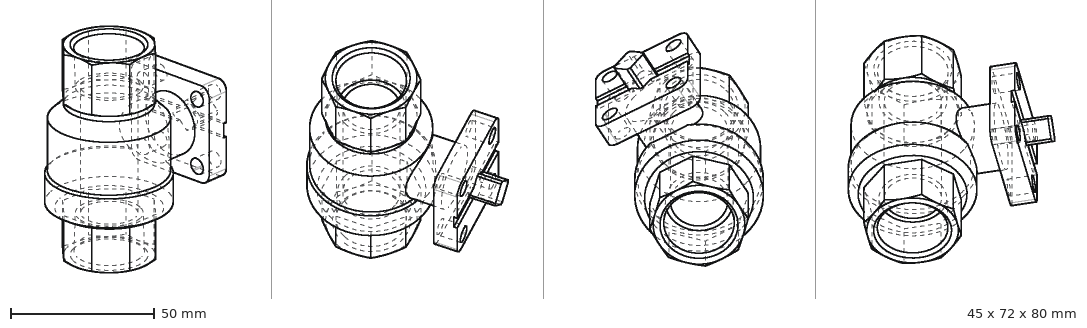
import cadquery as cq
import math

length = 80.0
mid_height = length / 2

end_flats = 32.0
end_sides = 8
half_side_angle = 180 / end_sides
end_corner_diameter = end_flats / math.cos(math.radians(half_side_angle))
corner_bevel_angle = math.radians(30)
upper_end_bottom = 59.6

neck_radius = end_flats / 2
body_radius = 21.5
collar_radius = 22.5
collar_bottom = 18.0
collar_bevel_height = 2.0
collar_bevel_angle = math.radians(60)
collar_bevel_width = collar_bevel_height * math.tan(collar_bevel_angle)
collar_top = 31.0
neck_bottom = 57.6
shoulder_bottom = 52.2

bore_diameter = 20.0
thread_mouth_diameter = 24.6
thread_end_diameter = 23.7
thread_depth = 16.0
mouth_bevel_diameter = 27.2

stem_housing_diameter = 23.5
flange_size = 37.0
flange_inner_face = 31.5
flange_thickness = 9.0
flange_outer_face = flange_inner_face + flange_thickness
flange_corner_radius = 3.8
bolt_count = 4
bolt_circle_diameter = 36.2
bolt_hole_width = 5.5
bolt_hole_stretch = 0.5
groove_width = 5.4
groove_depth = 1.3
stem_across_flats = 9.0
stem_across_corners = 11.4
stem_length = 9.0


def revolve_profile(points):
    """Solid of revolution about Z from (radius, height) points."""
    return cq.Workplane("XZ").polyline(points).close().revolve(360, (0, 0), (0, 1))


def octagonal_end(bottom, top, bevel_bottom):
    """Octagonal prism with corners bevelled to the inscribed circle at the top, optionally below too."""
    corner_radius = end_corner_diameter / 2
    drop = (corner_radius - neck_radius) * math.tan(corner_bevel_angle)
    prism = (
        cq.Workplane("XY", origin=(0, 0, bottom))
        .transformed(rotate=(0, 0, half_side_angle))
        .polygon(end_sides, end_corner_diameter)
        .extrude(top - bottom)
    )
    if bevel_bottom:
        lower = [(neck_radius, bottom), (corner_radius, bottom + drop)]
    else:
        lower = [(corner_radius, bottom)]
    upper = [(corner_radius, top - drop), (neck_radius, top)]
    return prism.intersect(revolve_profile([(0, bottom)] + lower + upper + [(0, top)]))


def turned_body():
    """Collar, barrel, conical shoulder and neck."""
    collar_step = collar_radius - body_radius
    return revolve_profile(
        [
            (0, collar_bottom),
            (collar_radius - collar_bevel_width, collar_bottom),
            (collar_radius, collar_bottom + collar_bevel_height),
            (collar_radius, collar_top),
            (body_radius, collar_top + collar_step),
            (body_radius, shoulder_bottom),
            (neck_radius, neck_bottom),
            (neck_radius, upper_end_bottom),
            (0, upper_end_bottom),
        ]
    )


def stem_axis_cylinder(diameter, start, end):
    """Cylinder on the stem axis between two Y positions."""
    return (
        cq.Workplane("XZ", origin=(0, start, mid_height))
        .circle(diameter / 2)
        .extrude(start - end)
    )


def flange():
    """Square flange with radially slotted bolt holes and a groove across its outer face."""
    face = cq.Workplane("XZ", origin=(0, flange_inner_face, mid_height))
    plate = (
        face.rect(flange_size, flange_size)
        .extrude(-flange_thickness)
        .edges("|Y")
        .fillet(flange_corner_radius)
    )
    bolt_slots = (
        face.polarArray(bolt_circle_diameter / 2, 45, 360, bolt_count)
        .slot2D(bolt_hole_width + bolt_hole_stretch, bolt_hole_width)
        .extrude(-flange_thickness)
    )
    groove = cq.Workplane("XY", origin=(0, flange_outer_face, mid_height)).box(
        flange_size, 2 * groove_depth, groove_width
    )
    return plate.cut(bolt_slots).cut(groove)


def stem():
    """Square drive stem, set on its corner, with the corners cut flat."""
    start = flange_outer_face - groove_depth
    height = stem_length + groove_depth
    base = cq.Workplane("XZ", origin=(0, start, mid_height))
    corner_limits = base.rect(stem_across_corners, stem_across_corners).extrude(-height)
    square = (
        base.transformed(rotate=(0, 0, 45))
        .rect(stem_across_flats, stem_across_flats)
        .extrude(-height)
    )
    return square.intersect(corner_limits)


def socket():
    """Tapered threaded socket with a bevelled mouth, opening at the top end."""
    mouth_radius = thread_mouth_diameter / 2
    bevel_radius = mouth_bevel_diameter / 2
    bevel_depth = bevel_radius - mouth_radius
    return revolve_profile(
        [
            (0, length),
            (bevel_radius, length),
            (mouth_radius, length - bevel_depth),
            (thread_end_diameter / 2, length - thread_depth),
            (0, length - thread_depth),
        ]
    )


upper_end = octagonal_end(upper_end_bottom, length, True)
lower_end = octagonal_end(length - collar_bottom, length, False).mirror("XY", (0, 0, mid_height))
upper_socket = socket()
lower_socket = upper_socket.mirror("XY", (0, 0, mid_height))
bore = cq.Workplane("XY").circle(bore_diameter / 2).extrude(length)

result = (
    turned_body()
    .union(upper_end)
    .union(lower_end)
    .union(stem_axis_cylinder(stem_housing_diameter, 0, flange_inner_face))
    .union(flange())
    .union(stem())
    .cut(bore)
    .cut(upper_socket)
    .cut(lower_socket)
)